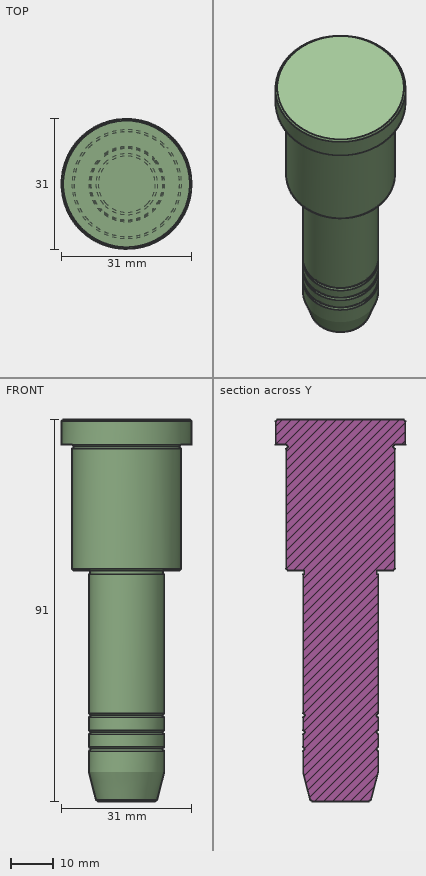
import cadquery as cq
import math

total_length = 91.0
head_radius = 15.52
head_height = 6.0
body_radius = 13.0
body_length = 30.0
shaft_radius = 9.0
edge_chamfer = 0.5

taper_height = 7.0
taper_angle = 14.5

groove_width = 1.0
groove_depth = 0.5
neck_depth = 0.3
neck_length = 0.8
ring_groove_count = 3
ring_groove_pitch = 4.0
lowest_groove_base = 12.0

head_base = total_length - head_height
body_base = head_base - body_length
tip_radius = shaft_radius - taper_height * math.tan(math.radians(taper_angle))


def cylinder(radius, base, height):
    """Cylinder on the pin axis, starting at height base."""
    return cq.Workplane("XY").workplane(offset=base).circle(radius).extrude(height)


def groove(outer_radius, base):
    """Ring to cut away for a shallow V-shaped groove around a cylinder."""
    return (
        cq.Workplane("XZ")
        .moveTo(outer_radius, base)
        .lineTo(outer_radius - groove_depth, base + groove_width / 2)
        .lineTo(outer_radius, base + groove_width)
        .close()
        .revolve(360, (0, 0, 0), (0, 1, 0))
    )


head = cylinder(head_radius, head_base, head_height).faces(">Z").edges().chamfer(edge_chamfer)

body = cylinder(body_radius, body_base, body_length).faces("<Z").edges().chamfer(edge_chamfer)
body = body.cut(groove(body_radius, head_base - groove_width))

shaft = cylinder(shaft_radius, taper_height, body_base - neck_length - taper_height)
tip = (
    cq.Workplane("XY")
    .circle(tip_radius)
    .workplane(offset=taper_height)
    .circle(shaft_radius)
    .loft()
    .faces("<Z")
    .edges()
    .chamfer(edge_chamfer)
)

neck = cylinder(shaft_radius - neck_depth, body_base - neck_length, neck_length)
for index in range(ring_groove_count):
    shaft = shaft.cut(groove(shaft_radius, lowest_groove_base + index * ring_groove_pitch))

result = head.union(body).union(neck).union(shaft).union(tip)